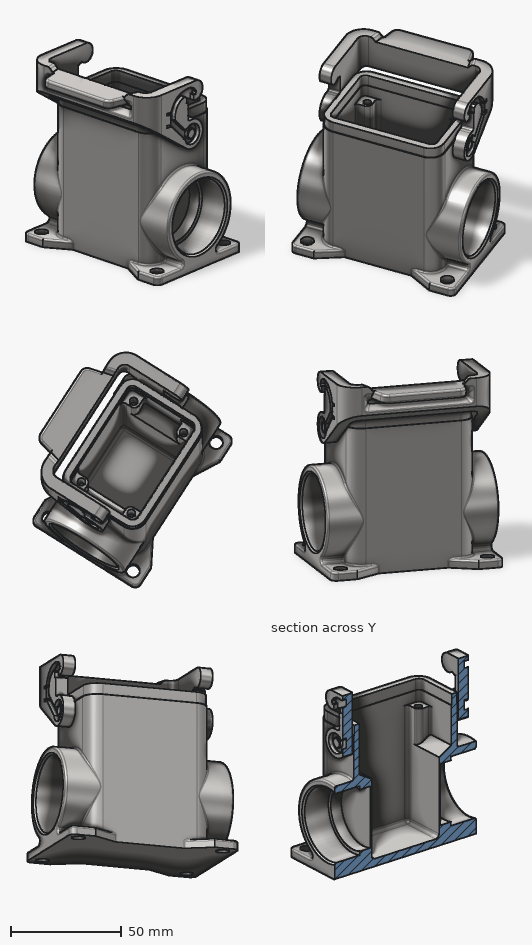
import cadquery as cq
import math

height = 90.2
length = 82.0
half_length = length / 2
handle_reach = 38.7

body_half_x = 30.0
body_half_y = 21.7
body_corner = 7.2
rim_bottom = 68.55
rim_top = 73.7
rim_inset = 0.4

flange_half_y = 28.6
flange_thick = 4.15
flange_corner = 2.9
ear_outer_x = 28.95
ear_inner_x = 16.7
edge_round = 0.9
joint_round = edge_round
screw_x = 35.1
screw_y = 22.6
screw_dia = 6.1

entry_z = 25.35
entry_radius = 21.65
entry_neck_round = 1.8
entry_mouth_chamfer = 0.9
entry_seat_radius = 17.9
entry_seat_x = 26.4
knockout_radius = 16.1
knockout_x = 20.4

cavity_half_x = 26.5
cavity_half_y = 17.95
cavity_corner = 2.8
mouth_bottom = 68.1
mouth_step = 0.2
shelf_half_x = cavity_half_x - mouth_step
shelf_half_y = cavity_half_y - mouth_step
well_half_x = 19.3
well_half_y = shelf_half_y
well_corner = 2.0
well_floor = 4.1
well_floor_round = well_corner
post_top = 62.2
post_edge_y = 10.3
post_corner = 2.7
post_fillet = 1.2
post_hole_x = 22.0
post_hole_y = 13.4
post_hole_dia = 3.6
post_hole_depth = 13.5
ledge_inner_z = 44.2
ledge_slope = 30.0

arm_inner_x = 30.5
arm_outer_x = 36.35
bar_inner_y = -24.9
bar_outer_y = -29.95
bar_bottom = 76.85
lever_outer_corner = 9.0
lever_inner_corner = 3.6
pivot_z = 64.8
eye_radius = 7.1
hook_radius = 4.7
hook_y = 2.4
throat_y = -2.8
throat_z = 81.0
throat_fillet = 1.2
throat_arch_front = -2.1
throat_arch_rise = 0.7

track_depth = 2.3
track_eye_radius = 5.0
track_centre_y = -3.5
track_centre_z = 76.7
track_inner_radius = 8.0
track_outer_radius = 11.2
track_mouth_back = 1.1
track_mouth_front = -3.7
track_shoulder_z = 83.6
track_bulge = (0.5, 87.2)
track_tip = (2.8, 84.7)
track_tip_y = 2.3
track_hub_offset = 1.5
channel_near = 1.0
channel_far = 4.3
mark_length = 2.6
mark_width = 1.1
mark_heights = (73.2, 79.3)
mark_start_y = -14.25

pin_radius = 2.6
pin_height = 1.8
pin_chamfer = 0.4
washer_radius = 3.25

grip_bottom = 83.8
grip_top = 88.1
grip_root_half_x = 23.1
grip_taper = 0.24
grip_corner = 3.6
grip_round = 1.1
pocket_half_x = 26.3
pocket_bottom = 78.6
pocket_top = 86.9
pocket_depth = 3.0
pocket_floor_half_x = 23.45
pocket_floor_bottom = 81.4
pocket_floor_top = 83.2
pocket_rim_round = 0.7
pocket_corner = 1.8
pocket_floor_corner = 0.8
notch_round = 1.8

margin = 0.1


def box(half_x, half_y, z_bottom, z_top, corner):
    """Block centred on the Z axis with rounded vertical edges."""
    block = cq.Workplane("XY").workplane(offset=z_bottom)
    block = block.rect(2 * half_x, 2 * half_y).extrude(z_top - z_bottom)
    return block.edges("|Z").fillet(corner)


def both_sides(solid):
    """The solid together with its mirror image across the YZ plane."""
    return solid.union(solid.mirror("YZ"))


def flange_end():
    """Flange half on the +X side, with two screw ears."""
    outline = [
        (0, -body_half_y),
        (ear_inner_x, -body_half_y),
        (ear_outer_x, -flange_half_y),
        (half_length, -flange_half_y),
        (half_length, flange_half_y),
        (ear_outer_x, flange_half_y),
        (ear_inner_x, body_half_y),
        (0, body_half_y),
    ]
    plate = cq.Workplane("XY").polyline(outline).close().extrude(flange_thick)
    return plate.edges("|Z and >X").fillet(flange_corner)


def entry_outside():
    """Round cable entry on the +X side, blended down onto the flange."""
    depth = half_length - knockout_x
    tube = cq.Workplane("YZ", origin=(knockout_x, 0, entry_z)).circle(entry_radius).extrude(depth)

    neck_z = flange_thick + entry_neck_round
    reach = entry_radius + entry_neck_round
    neck_y = math.sqrt(reach**2 - (entry_z - neck_z) ** 2)
    touch_z = entry_z - (entry_z - neck_z) * entry_radius / reach
    web = (
        cq.Workplane("YZ", origin=(knockout_x, 0, 0))
        .moveTo(0, touch_z / 2)
        .rect(2 * neck_y, touch_z)
        .extrude(depth)
    )
    rounds = (
        cq.Workplane("YZ", origin=(knockout_x, 0, neck_z))
        .pushPoints([(-neck_y, 0), (neck_y, 0)])
        .circle(entry_neck_round)
        .extrude(depth)
    )
    return tube.union(web.cut(rounds))


def housing_end():
    """Flange half and cable entry on the +X side, with their outer edges rounded."""
    end = flange_end().union(entry_outside())
    end_edges = end.faces(">X").edges("not(<Z)")
    front_edges = end.edges(cq.selectors.BoxSelector(
        (ear_inner_x, -flange_half_y - margin, flange_thick - margin),
        (half_length, -body_half_y - margin, flange_thick + margin),
    ))
    back_edges = end.edges(cq.selectors.BoxSelector(
        (ear_inner_x, body_half_y + margin, flange_thick - margin),
        (half_length, flange_half_y + margin, flange_thick + margin),
    ))
    return end_edges.add(front_edges).add(back_edges).fillet(edge_round)


def housing_outside():
    """Body with flange and entries, blended where they meet, and the rim on top."""
    outside = box(body_half_x, body_half_y, 0, rim_bottom, body_corner)
    for side in (1, -1):
        end = housing_end() if side > 0 else housing_end().mirror("YZ")
        outside = outside.union(end)
        joint = cq.selectors.BoxSelector(
            (side * ear_inner_x, -body_half_y - margin, flange_thick - margin),
            (side * (body_half_x + margin), body_half_y + margin, entry_z + entry_radius + margin),
        )
        outside = outside.edges(joint).edges("not |Z").fillet(joint_round)
    rim = box(body_half_x - rim_inset, body_half_y - rim_inset, rim_bottom, rim_top, body_corner - rim_inset)
    return outside.union(rim)


def entry_bore():
    """Entry bore with a chamfered mouth, a seat and a blind knock-out recess, on the +X side."""
    profile = [
        (knockout_x, 0),
        (knockout_x, knockout_radius),
        (entry_seat_x, knockout_radius),
        (entry_seat_x, entry_seat_radius),
        (half_length - entry_mouth_chamfer, entry_seat_radius),
        (half_length, entry_seat_radius + entry_mouth_chamfer),
        (half_length, 0),
    ]
    bore = cq.Workplane("XY").polyline(profile).close().revolve(360, (0, 0, 0), (1, 0, 0))
    return bore.translate((0, 0, entry_z))


def ledge_space():
    """Space between two posts at the +X end, above a ledge sloping down into the well."""
    half = (
        cq.Workplane("XY")
        .moveTo(0, 0)
        .lineTo(shelf_half_x, 0)
        .lineTo(shelf_half_x, post_edge_y - post_fillet)
        .radiusArc((shelf_half_x - post_fillet, post_edge_y), -post_fillet)
        .lineTo(well_half_x + post_corner, post_edge_y)
        .radiusArc((well_half_x, post_edge_y + post_corner), post_corner)
        .lineTo(0, post_edge_y + post_corner)
        .close()
        .extrude(rim_top)
    )
    plan = half.union(half.mirror("XZ"))
    ledge_outer_z = ledge_inner_z + (shelf_half_x - well_half_x) * math.tan(math.radians(ledge_slope))
    above_slope = (
        cq.Workplane("XZ")
        .polyline([
            (well_half_x, ledge_inner_z),
            (shelf_half_x, ledge_outer_z),
            (shelf_half_x, rim_top),
            (well_half_x, rim_top),
        ])
        .close()
        .extrude(cavity_half_y, both=True)
    )
    return plan.intersect(above_slope)


def cavity():
    """Connector opening, cable well and the four screw posts left standing in its corners."""
    mouth = box(cavity_half_x, cavity_half_y, mouth_bottom, rim_top, cavity_corner)
    shelf = box(shelf_half_x, shelf_half_y, post_top, mouth_bottom, cavity_corner - mouth_step)
    well = box(well_half_x, well_half_y, well_floor, rim_top, well_corner)
    well = well.faces("<Z").edges().fillet(well_floor_round)
    holes = (
        cq.Workplane("XY")
        .workplane(offset=post_top - post_hole_depth)
        .rect(2 * post_hole_x, 2 * post_hole_y, forConstruction=True)
        .vertices()
        .circle(post_hole_dia / 2)
        .extrude(post_hole_depth)
    )
    return mouth.union(shelf).union(well).union(both_sides(ledge_space())).union(holes)


def screw_holes():
    """Mounting holes through the four flange ears."""
    return (
        cq.Workplane("XY")
        .rect(2 * screw_x, 2 * screw_y, forConstruction=True)
        .vertices()
        .circle(screw_dia / 2)
        .extrude(flange_thick)
    )


def lever_plan():
    """U shape seen from above: two arms joined by the front bar."""
    back = hook_y + hook_radius
    depth = height - pivot_z + eye_radius

    def slab(half_x, front, corner):
        block = cq.Workplane("XY", origin=(0, 0, height - depth))
        block = block.moveTo(0, (front + back) / 2).rect(2 * half_x, back - front).extrude(depth)
        return block.edges("|Z and <Y").fillet(corner)

    outer = slab(arm_outer_x, bar_outer_y, lever_outer_corner)
    return outer.cut(slab(arm_inner_x, bar_inner_y, lever_inner_corner))


def lever_side():
    """Side outline of the lever: pivot eye, hook and sloping lower edge."""
    rise = bar_bottom - pivot_z
    slope = math.atan2(rise, -bar_outer_y) + math.asin(eye_radius / math.hypot(bar_outer_y, rise))
    tangent = (-eye_radius * math.sin(slope), pivot_z - eye_radius * math.cos(slope))
    eye_top = pivot_z + eye_radius
    arch_mid = (track_mouth_back + throat_arch_front) / 2
    return (
        cq.Workplane("YZ", origin=(-arm_outer_x, 0, 0))
        .moveTo(bar_outer_y, bar_bottom)
        .lineTo(bar_outer_y, height)
        .lineTo(hook_y, height)
        .threePointArc(
            (hook_y + hook_radius, height - hook_radius),
            (hook_y, height - 2 * hook_radius),
        )
        .lineTo(track_mouth_back, throat_z)
        .threePointArc((arch_mid, throat_z + throat_arch_rise), (throat_arch_front, throat_z))
        .lineTo(throat_y, throat_z)
        .lineTo(throat_y, eye_top + throat_fillet)
        .radiusArc((throat_y + throat_fillet, eye_top), -throat_fillet)
        .lineTo(0, eye_top)
        .threePointArc((eye_radius, pivot_z), (0, pivot_z - eye_radius))
        .threePointArc(
            (-eye_radius * math.sin(slope / 2), pivot_z - eye_radius * math.cos(slope / 2)),
            tangent,
        )
        .close()
        .extrude(2 * arm_outer_x)
    )


def arm_track():
    """Recess in the outer face of the +X arm: pivot eye, slanted channel and curved latch path."""
    face = cq.Workplane("YZ", origin=(arm_outer_x - track_depth, 0, 0))
    front = track_centre_y - track_outer_radius
    inner = track_centre_y - track_inner_radius
    diagonal = math.sqrt(0.5)

    def channel_z(y, offset):
        return pivot_z - y - offset / diagonal

    near_y = -channel_near * diagonal
    far_y = -channel_far * diagonal
    hub_y = track_centre_y - track_hub_offset
    hub_z = track_centre_z + math.sqrt(track_inner_radius**2 - track_hub_offset**2)
    path = (
        face.moveTo(near_y, channel_z(near_y, channel_near))
        .lineTo(far_y, channel_z(far_y, channel_far))
        .lineTo(front, channel_z(front, channel_far))
        .lineTo(front, track_centre_z)
        .radiusArc((track_centre_y, track_centre_z + track_outer_radius), track_outer_radius)
        .threePointArc(track_bulge, track_tip)
        .lineTo(track_tip_y, track_shoulder_z)
        .lineTo(track_mouth_back, track_shoulder_z)
        .lineTo(track_mouth_back, throat_z)
        .lineTo(track_mouth_front, throat_z)
        .lineTo(track_mouth_front, track_shoulder_z)
        .lineTo(hub_y, hub_z)
        .radiusArc((inner, track_centre_z), -track_inner_radius)
        .lineTo(inner, channel_z(inner, channel_near))
        .close()
        .extrude(track_depth)
    )
    eye = face.moveTo(0, pivot_z).circle(track_eye_radius).extrude(track_depth)
    marks = (
        face.pushPoints([(mark_start_y - mark_length / 2, z) for z in mark_heights])
        .rect(mark_length, mark_width)
        .extrude(track_depth)
    )
    return path.union(eye).union(marks)


def pivot_pin():
    """Washer between housing and arm, and the pin head standing in the track, on the +X side."""
    washer = (
        cq.Workplane("YZ", origin=(cavity_half_x, 0, pivot_z))
        .circle(washer_radius)
        .extrude(arm_inner_x - cavity_half_x)
    )
    head = (
        cq.Workplane("YZ", origin=(arm_outer_x - track_depth, 0, pivot_z))
        .circle(pin_radius)
        .extrude(pin_height)
        .faces(">X")
        .chamfer(pin_chamfer)
    )
    return washer.union(head)


def grip_half_x(y):
    """Half width of the grip plate at the given Y."""
    return grip_root_half_x - grip_taper * (bar_inner_y - y)


def grip():
    """Tapered grip plate with rounded corners and edges."""
    root = grip_root_half_x
    tip = grip_half_x(-handle_reach)
    plate = (
        cq.Workplane("XY", origin=(0, 0, grip_bottom))
        .polyline([(-root, bar_inner_y), (-tip, -handle_reach), (tip, -handle_reach), (root, bar_inner_y)])
        .close()
        .extrude(grip_top - grip_bottom)
    )
    plate = plate.edges("|Z and <Y").fillet(grip_corner)
    return plate.faces("<Z or >Z").edges("not >Y").fillet(grip_round)


def bar_notch():
    """Opening in the top of the bar with 45 degree sides that follow the taper of the grip."""
    rise = height - grip_top

    def section(wire, half):
        return wire.polyline([
            (-half, grip_top),
            (half, grip_top),
            (half + rise, height),
            (-half - rise, height),
        ]).close()

    notch = section(cq.Workplane("XZ", origin=(0, bar_inner_y, 0)), grip_half_x(bar_inner_y))
    notch = section(notch.workplane(offset=bar_inner_y - bar_outer_y), grip_half_x(bar_outer_y))
    return notch.loft(ruled=True)


def bar_pocket():
    """Finger pocket in the front of the bar, narrowing to a slot-like floor."""

    def section(half_x, bottom, top, corner, depth):
        centre = cq.Vector(0, (bottom + top) / 2, -depth)
        outline = cq.Sketch().rect(2 * half_x, top - bottom).vertices().fillet(corner)
        return outline.moved(cq.Location(centre))

    mouth = section(pocket_half_x, pocket_bottom, pocket_top, pocket_corner, 0)
    floor = section(
        pocket_floor_half_x,
        pocket_floor_bottom,
        pocket_floor_top,
        pocket_floor_corner,
        pocket_depth,
    )
    return cq.Workplane("XZ", origin=(0, bar_outer_y, 0)).placeSketch(mouth, floor).loft()


def lever():
    """U-shaped lever with notch, pocket, tracks and grip plate."""
    frame = lever_plan().intersect(lever_side())
    frame = frame.cut(bar_notch())
    notch_zone = cq.selectors.BoxSelector(
        (-arm_inner_x, bar_outer_y + margin, height - margin),
        (arm_inner_x, bar_inner_y - margin, height + margin),
    )
    frame = frame.edges(notch_zone).fillet(notch_round)
    frame = frame.cut(bar_pocket())
    pocket_rim = cq.selectors.BoxSelector(
        (-pocket_half_x - margin, bar_outer_y - margin, pocket_bottom - margin),
        (pocket_half_x + margin, bar_outer_y + margin, pocket_top + margin),
    )
    frame = frame.edges(pocket_rim).fillet(pocket_rim_round)
    frame = frame.cut(both_sides(arm_track()))
    return frame.union(grip())


housing = housing_outside().cut(both_sides(entry_bore())).cut(cavity()).cut(screw_holes())
result = housing.union(lever()).union(both_sides(pivot_pin()))